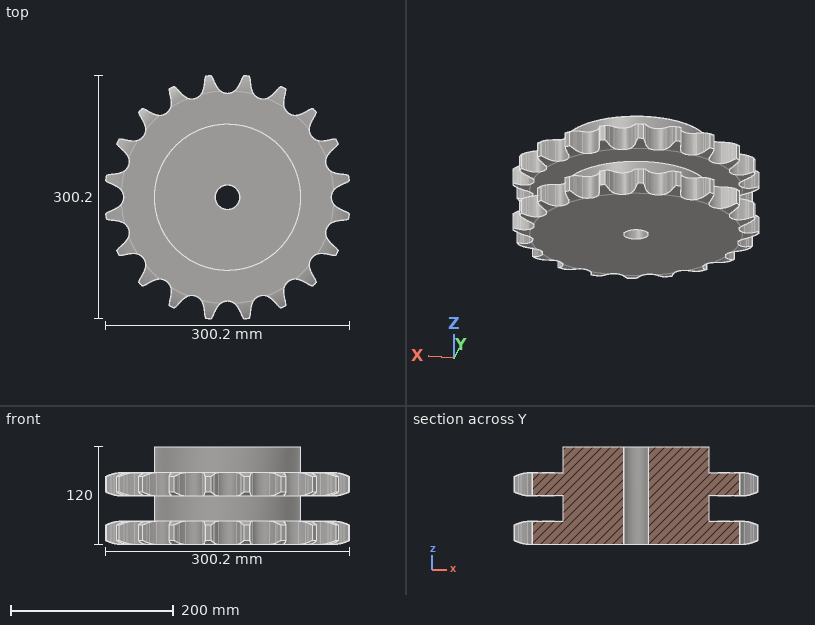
import cadquery as cq
import math

overall_width = 300.2
overall_height = 120.0
hub_diameter = 180.0
bore_diameter = 30.0
plate_thickness = 28.8
plate_spacing = 59.7
plate_count = 2
tooth_count = 20
chain_pitch = 44.5
roller_diameter = 28.0
seat_clearance = 0.075
relief_start_radius = 131.0
relief_radius = chain_pitch
rim_margin = 3.0

half_tooth_angle = 180 / tooth_count
pitch_radius = chain_pitch / 2 / math.sin(math.radians(half_tooth_angle))
seat_radius = (1.005 * roller_diameter + seat_clearance) / 2
seat_angle = 35 + 60 / tooth_count
working_angle = 18 - 56 / tooth_count
topping_angle = 17 - 64 / tooth_count
working_offset = 0.8 * roller_diameter
topping_offset = 1.4 * roller_diameter
working_radius = seat_radius + working_offset
straight_length = (
    topping_offset * math.sin(math.radians(topping_angle))
    - working_offset * math.sin(math.radians(working_angle))
)


def offset_point(start, distance, angle):
    """Point at a distance from start; angle in degrees, counter-clockwise from +X."""
    x = start[0] + distance * math.cos(math.radians(angle))
    y = start[1] + distance * math.sin(math.radians(angle))
    return x, y


def flank_points():
    """Points up the right flank of the tooth gap centred on +Y, from seat to tip."""
    roller_center = (0, pitch_radius)
    flank_angle = working_angle - seat_angle
    middle_angle = working_angle / 2 - seat_angle
    working_center = offset_point(roller_center, working_offset, 180 - seat_angle)
    seat_end = offset_point(roller_center, seat_radius, -seat_angle)
    working_mid = offset_point(working_center, working_radius, middle_angle)
    working_end = offset_point(working_center, working_radius, flank_angle)
    straight_end = offset_point(working_end, straight_length, flank_angle + 90)

    topping_center = offset_point(roller_center, topping_offset, -half_tooth_angle)
    topping_radius = math.dist(topping_center, straight_end)
    tip_y = overall_width / 2
    tip_rise = (tip_y - topping_center[1]) / topping_radius
    start_rise = (straight_end[1] - topping_center[1]) / topping_radius
    tip_angle = 180 - math.degrees(math.asin(tip_rise))
    start_angle = 180 - math.degrees(math.asin(start_rise))
    topping_mid = offset_point(topping_center, topping_radius, (start_angle + tip_angle) / 2)
    tip_corner = offset_point(topping_center, topping_radius, tip_angle)
    return seat_end, working_mid, working_end, straight_end, topping_mid, tip_corner


def turned(point, angle):
    """Turn a point about the sprocket axis."""
    radius = math.hypot(*point)
    return offset_point((0, 0), radius, math.degrees(math.atan2(point[1], point[0])) + angle)


def mirrored(point):
    """Mirror a point across the Y axis."""
    return -point[0], point[1]


flank = flank_points()
tip_radius = math.hypot(*flank[-1])
root_point = (0, pitch_radius - seat_radius)


def toothed_outline():
    """Closed tooth outline, drawn gap by gap counter-clockwise."""
    seat_end, working_mid, working_end, straight_end, topping_mid, tip_corner = flank
    outline = cq.Workplane("XY").moveTo(*tip_corner)
    for gap in range(tooth_count):
        angle = gap * 360 / tooth_count

        def right(point):
            return turned(point, angle)

        def left(point):
            return turned(mirrored(point), angle)

        next_tip_mid = turned((0, tip_radius), angle + half_tooth_angle)
        next_corner = turned(tip_corner, angle + 2 * half_tooth_angle)
        outline = (
            outline.threePointArc(right(topping_mid), right(straight_end))
            .lineTo(*right(working_end))
            .threePointArc(right(working_mid), right(seat_end))
            .threePointArc(right(root_point), left(seat_end))
            .threePointArc(left(working_mid), left(working_end))
            .lineTo(*left(straight_end))
            .threePointArc(left(topping_mid), left(tip_corner))
            .threePointArc(next_tip_mid, next_corner)
        )
    return outline.close()


def relief_depth(radius):
    """How far each side of the plate has dropped at a given radius."""
    run = radius - relief_start_radius
    return relief_radius - math.sqrt(relief_radius**2 - run**2)


def relieved_blank():
    """Round disc whose rim thins towards the tooth tips along tangent arcs."""
    rim_radius = tip_radius + rim_margin
    rim_depth = relief_depth(rim_radius)
    mid_radius = (relief_start_radius + rim_radius) / 2
    mid_depth = relief_depth(mid_radius)
    return (
        cq.Workplane("XZ")
        .lineTo(relief_start_radius, 0)
        .threePointArc((mid_radius, mid_depth), (rim_radius, rim_depth))
        .lineTo(rim_radius, plate_thickness - rim_depth)
        .threePointArc(
            (mid_radius, plate_thickness - mid_depth),
            (relief_start_radius, plate_thickness),
        )
        .lineTo(0, plate_thickness)
        .close()
        .revolve(360, (0, 0), (0, 1))
    )


toothed_plate = toothed_outline().extrude(plate_thickness).intersect(relieved_blank())
hub = cq.Workplane("XY").circle(hub_diameter / 2).extrude(overall_height)
bore = cq.Workplane("XY").circle(bore_diameter / 2).extrude(overall_height)

sprocket = hub
for plate in range(plate_count):
    sprocket = sprocket.union(toothed_plate.translate((0, 0, plate * plate_spacing)))

result = sprocket.cut(bore)